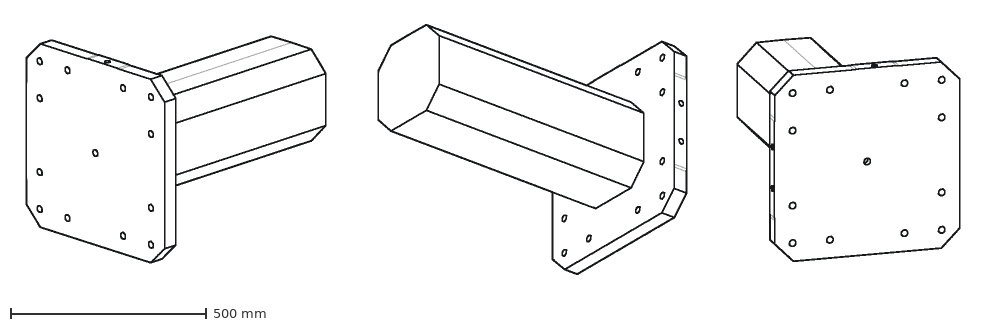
import cadquery as cq
import math

total_length = 714.0
plate_side = 498.0
plate_thickness = 41.5
plate_corner = 50.0

column_side = 249.0
column_flat_x = 145.0
column_flat_z = 141.0
ridge_height = 1.0

bolt_diameter = 17.0
bolt_outer = 200.0
bolt_inner = bolt_outer / 2
center_diameter = 17.0
center_depth = plate_thickness / 2

pad_height = 1.0
flank_width = 8.0
top_pad_start = -27.0
top_pad_end = 78.0
side_pad_half = 128.5
edge_hole_diameter = 14.0
edge_hole_depth = 21.5
edge_hole_y = 18.5
top_hole_x = (top_pad_start + top_pad_end) / 2
side_hole_z = 55.0

plate_half = plate_side / 2
edge_level = plate_half - pad_height
flank_radius = (flank_width**2 + pad_height**2) / (2 * pad_height)


def make_plate():
    """Square plate with cut corners, its outer face at Y = 0; pads come on the -X and +Z edges."""
    return (
        cq.Workplane("XY")
        .box(plate_side - pad_height, plate_thickness, plate_side - pad_height)
        .edges("|Y")
        .chamfer(plate_corner)
        .translate((pad_height / 2, plate_thickness / 2, -pad_height / 2))
    )


def make_column():
    """Solid octagonal column, its top face slightly ridged, on the back of the plate."""
    half = column_side / 2
    flat_x = column_flat_x / 2
    flat_z = column_flat_z / 2
    outline = [
        (half, flat_z),
        (flat_x, half - ridge_height),
        (0, half),
        (-flat_x, half - ridge_height),
        (-half, flat_z),
        (-half, -flat_z),
        (-flat_x, -half),
        (flat_x, -half),
        (half, -flat_z),
    ]
    return (
        cq.Workplane("XZ", origin=(0, plate_thickness, 0))
        .polyline(outline)
        .close()
        .extrude(plate_thickness - total_length)
    )


def make_face_holes(positions, diameter, depth):
    """Cutters running from the outer face of the plate along +Y."""
    return cq.Workplane("XZ").pushPoints(positions).circle(diameter / 2).extrude(-depth)


def make_top_pad(start, end):
    """Pad between start and end along X on the top edge, with a concave flank at each end."""
    half_angle = math.asin(flank_width / flank_radius) / 2
    along = flank_radius * math.sin(half_angle)
    rise = flank_radius * (1 - math.cos(half_angle))
    foot_start = start - flank_width
    foot_end = end + flank_width
    return (
        cq.Workplane("XZ")
        .moveTo(foot_start, edge_level)
        .threePointArc((foot_start + along, edge_level + rise), (start, plate_half))
        .lineTo(end, plate_half)
        .threePointArc((foot_end - along, edge_level + rise), (foot_end, edge_level))
        .lineTo(foot_end, edge_level - plate_corner)
        .lineTo(foot_start, edge_level - plate_corner)
        .close()
        .extrude(-plate_thickness)
    )


def make_top_holes(positions):
    """Cutters for the blind holes running down from the top pad at the given X positions."""
    return (
        cq.Workplane("XY", origin=(0, 0, plate_half))
        .pushPoints([(x, edge_hole_y) for x in positions])
        .circle(edge_hole_diameter / 2)
        .extrude(-edge_hole_depth)
    )


def turn_to_side(shape):
    """Turn a shape made for the top edge about Y onto the -X edge."""
    return shape.rotate((0, 0, 0), (0, 1, 0), -90)


bolt_positions = [
    (x, z)
    for x in (-bolt_outer, -bolt_inner, bolt_inner, bolt_outer)
    for z in (-bolt_outer, -bolt_inner, bolt_inner, bolt_outer)
    if bolt_outer in (abs(x), abs(z))
]
side_pad = turn_to_side(make_top_pad(-side_pad_half, side_pad_half))
side_holes = turn_to_side(make_top_holes([-side_hole_z, side_hole_z]))

result = (
    make_plate()
    .union(make_top_pad(top_pad_start, top_pad_end))
    .union(side_pad)
    .cut(make_face_holes(bolt_positions, bolt_diameter, plate_thickness))
    .cut(make_face_holes([(0, 0)], center_diameter, center_depth))
    .cut(make_top_holes([top_hole_x]))
    .cut(side_holes)
    .union(make_column())
    .translate((0, -total_length / 2, 0))
)